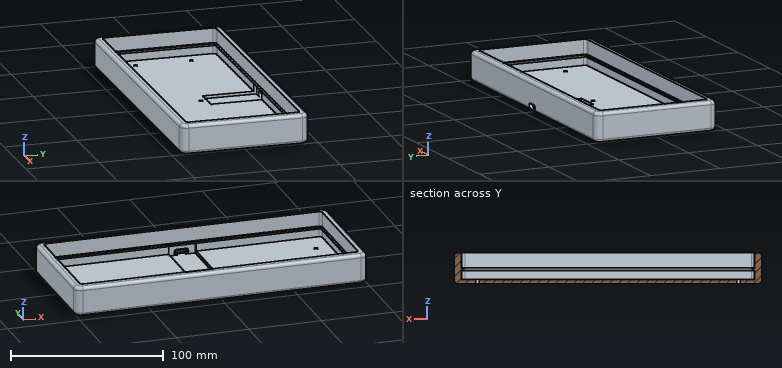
import cadquery as cq

length = 201.8
width = 87.8
height = 20.5
corner_radius = 5.0
edge_fillet = 2.5

side_wall = 5.0
floor_thickness = 3.0
lip_width = 2.0
lip_top_z = 10.5
cavity_corner_radius = 2.0

pocket_width = 19.0
pocket_front_y = 4.0
pocket_depth = 2.0
recess_depth = 2.0

slot_width = 9.7
slot_height = 3.8

screw_diameter = 2.2
screw_spacing_x = 171.2
screw_spacing_y = 38.1

lip_root_z = lip_top_z - lip_width
pocket_z = floor_thickness - pocket_depth
cavity_length = length - 2 * side_wall
cavity_width = width - 2 * side_wall
pocket_back_y = cavity_width / 2 + recess_depth


def make_shell():
    """Solid block with rounded corners and rounded top and bottom edges."""
    block = cq.Workplane("XY").box(length, width, height, centered=(True, True, False))
    return block.edges("|Z").fillet(corner_radius).faces("<Z or >Z").edges().fillet(edge_fillet)


def make_cavity():
    """Rounded rectangular cavity, open at the top, less the lip that stays on its walls."""
    cavity = (
        cq.Workplane("XY", origin=(0, 0, floor_thickness))
        .rect(cavity_length, cavity_width)
        .extrude(height - floor_thickness)
        .edges("|Z")
        .fillet(cavity_corner_radius)
    )
    lip = cq.Workplane("XY", origin=(0, 0, lip_root_z)).rect(cavity_length, cavity_width).extrude(lip_width)
    lip_opening = (
        cq.Workplane("XY", origin=(0, 0, lip_root_z))
        .rect(cavity_length, cavity_width)
        .workplane(offset=lip_width)
        .rect(cavity_length - 2 * lip_width, cavity_width - 2 * lip_width)
        .loft(ruled=True)
    )
    return cavity.cut(lip.cut(lip_opening))


def make_pocket():
    """Floor pocket together with the recess in the rear wall, up to the root of the lip."""
    pocket_length = pocket_back_y - pocket_front_y
    return (
        cq.Workplane("XY", origin=(0, pocket_front_y + pocket_length / 2, pocket_z))
        .rect(pocket_width, pocket_length)
        .extrude(lip_root_z - pocket_z)
    )


def make_connector_slot():
    """Round-ended slot through the rear wall, with its lower side level with the pocket floor."""
    return (
        cq.Workplane("XZ", origin=(0, width / 2, pocket_z + slot_height / 2))
        .slot2D(slot_width, slot_height)
        .extrude(width / 2 - pocket_back_y)
    )


def make_screw_holes():
    """Four corner holes and one at the centre of the floor."""
    return (
        cq.Workplane("XY")
        .rect(screw_spacing_x, screw_spacing_y, forConstruction=True)
        .vertices()
        .circle(screw_diameter / 2)
        .extrude(floor_thickness)
        .union(cq.Workplane("XY").circle(screw_diameter / 2).extrude(floor_thickness))
    )


result = (
    make_shell()
    .cut(make_cavity())
    .cut(make_pocket())
    .cut(make_connector_slot())
    .cut(make_screw_holes())
)